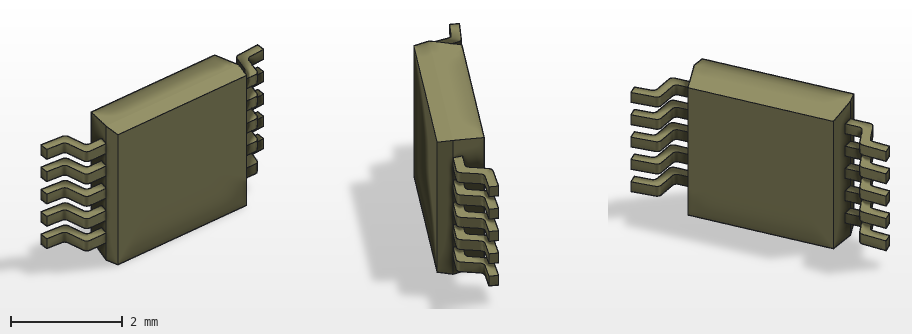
import cadquery as cq
import math


span = 4.9
height = 0.97

body_side = 3.0
body_standoff = 0.11
parting_x = 0.685
near_inset_y = 0.105
near_inset_z = 0.075
far_inset = 0.045

leads_per_side = 5
lead_pitch = 0.5
lead_width = 0.22
lead_thickness = 0.175
foot_length = 0.53
foot_angle = 4.0
riser_angle = 14.0
bend_radius = 0.1
lead_embed = 0.195

tan_foot = math.tan(math.radians(foot_angle))
tan_riser = math.tan(math.radians(riser_angle))


def body_half(end_x, inset_y, inset_z):
    """Frustum from the parting square to a smaller rectangle at end_x."""
    return (
        cq.Workplane("YZ", origin=(parting_x, 0, 0))
        .rect(body_side, body_side)
        .workplane(offset=end_x - parting_x)
        .rect(body_side - 2 * inset_y, body_side - 2 * inset_z)
        .loft(ruled=True)
    )


def lead():
    """One lead on the +Y side, centred on Z = 0, its shoulder flush with the parting plane."""
    tip_y = span / 2
    root_y = body_side / 2 - lead_embed

    heel = (foot_length * tan_foot, tip_y - foot_length)
    under_x = parting_x - lead_thickness
    under_bend = (under_x, heel[1] - (under_x - heel[0]) * tan_riser)

    foot_shift = lead_thickness / math.cos(math.radians(foot_angle))
    riser_shift = lead_thickness / math.cos(math.radians(riser_angle))
    shoulder = (parting_x, heel[1] - (parting_x - heel[0]) * tan_riser + riser_shift)
    instep_x = (
        foot_shift + (tip_y - heel[1] - riser_shift - heel[0] * tan_riser) * tan_foot
    ) / (1 - tan_foot * tan_riser)
    instep = (instep_x, tip_y - (instep_x - foot_shift) / tan_foot)

    outline = [
        (0, tip_y),
        heel,
        under_bend,
        (under_x, root_y),
        (parting_x, root_y),
        shoulder,
        instep,
        (foot_shift, tip_y),
    ]
    blank = (
        cq.Workplane("XY", origin=(0, 0, -lead_width / 2))
        .polyline(outline)
        .close()
        .extrude(lead_width)
    )
    bends = cq.Workplane("XY")
    for corner in (heel, under_bend, shoulder, instep):
        bends = bends.add(blank.edges(cq.NearestToPointSelector((corner[0], corner[1], 0))))
    return blank.newObject(bends.vals()).fillet(bend_radius)


result = body_half(body_standoff, near_inset_y, near_inset_z)
result = result.union(body_half(height, far_inset, far_inset))

lead_plus_y = lead()
lead_minus_y = lead_plus_y.mirror("XZ")
for index in range(leads_per_side):
    lead_z = (index - (leads_per_side - 1) / 2) * lead_pitch
    for side_lead in (lead_plus_y, lead_minus_y):
        result = result.union(side_lead.translate((0, 0, lead_z)))